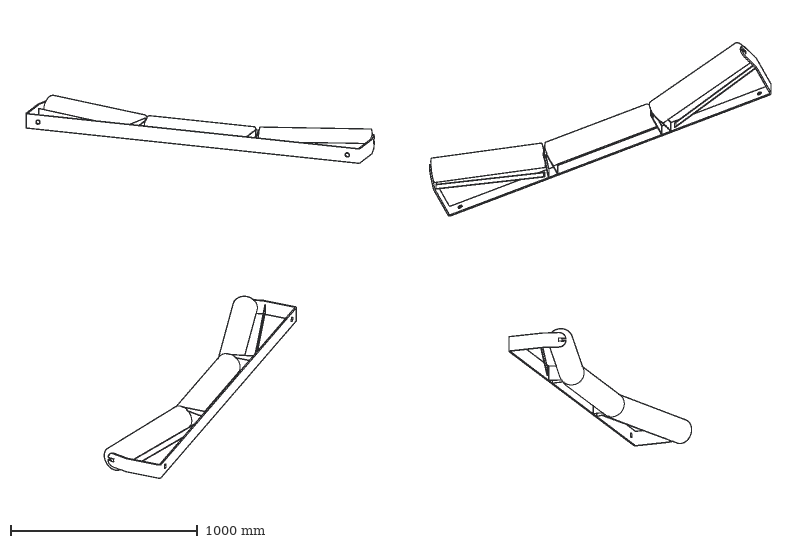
import cadquery as cq
import math

frame_length = 1910.0
frame_width = 80.0
strip_thickness = 8.5
corner_radius = 13.0
leg_height = 197.0
tip_length = 126.0
tip_bend_radius = 20.0
tip_corner_radius = 36.0
mounting_hole_diameter = 23.0
mounting_hole_from_end = 70.0

roller_diameter = 134.0
roller_length = 602.0
roller_edge_radius = 4.0
shaft_side = 17.0
wing_angle = 15.0
wing_center_x = 626.0
wing_center_y = 208.0
roller_drop = 5.0
center_roller_y = 125.0

plate_thickness = 4.0
inner_plate_gap = 4.8
center_plate_x = 308.0
cap_top_y = 149.0
strut_width = 40.0
strut_leg_y = 181.0
strut_foot_x = 384.0

half_length = frame_length / 2
wing_sine = math.sin(math.radians(wing_angle))
wing_cosine = math.cos(math.radians(wing_angle))
wing_tilt = math.degrees(math.asin(roller_drop / roller_length))


def flat_strip(points, width):
    """Extrude a closed XY outline symmetrically about Z = 0."""
    return cq.Workplane("XY").polyline(points).close().extrude(width / 2, both=True)


def plate_between(start, end, width):
    """Straight thin plate whose mid-plane runs from start to end in XY."""
    run_x = end[0] - start[0]
    run_y = end[1] - start[1]
    length = math.hypot(run_x, run_y)
    plate = cq.Workplane("XY").box(length, plate_thickness, width)
    plate = plate.rotate((0, 0, 0), (0, 0, 1), math.degrees(math.atan2(run_y, run_x)))
    return plate.translate(((start[0] + end[0]) / 2, (start[1] + end[1]) / 2, 0))


def place_right_wing(shape):
    """Move a shape from the X axis to the inclined axis of the right wing roller."""
    tipped = shape.rotate((0, 0, 0), (0, 1, 0), -wing_tilt)
    turned = tipped.rotate((0, 0, 0), (0, 0, 1), wing_angle)
    return turned.translate((wing_center_x, wing_center_y, -roller_drop / 2))


def place_center(shape):
    """Move a shape from the X axis to the level axis of the center roller."""
    return shape.translate((0, center_roller_y, -roller_drop))


tip_outer_distance = (
    (half_length - wing_center_x) * wing_cosine + (leg_height - wing_center_y) * wing_sine
)
inner_plate_distance = roller_length / 2 + inner_plate_gap + plate_thickness
center_shaft_end = center_plate_x + plate_thickness / 2


def shaft(left_end, right_end):
    """Square shaft on the X axis between two X positions."""
    length = right_end - left_end
    return cq.Workplane("XY").box(length, shaft_side, shaft_side).translate(
        ((left_end + right_end) / 2, 0, 0)
    )


wing_shaft = shaft(-inner_plate_distance, tip_outer_distance)
center_shaft = shaft(-center_shaft_end, center_shaft_end)


def make_roller(roller_shaft):
    """Roller on the X axis, centered on the origin, with its shaft ends."""
    left_end = cq.Workplane("YZ", origin=(-roller_length / 2, 0, 0))
    shell = left_end.circle(roller_diameter / 2).extrude(roller_length)
    return shell.edges().fillet(roller_edge_radius).union(roller_shaft)


def make_bent_strip():
    """U-shaped strip whose two leg tips lean inward, square to the wing rollers."""
    inner_x = half_length - strip_thickness
    inner_bend_y = leg_height - strip_thickness * math.tan(math.radians(wing_angle / 2))
    tip_x = half_length - tip_length * wing_sine
    tip_y = leg_height + tip_length * wing_cosine
    right_side = [
        (half_length, 0),
        (half_length, leg_height),
        (tip_x, tip_y),
        (tip_x - strip_thickness * wing_cosine, tip_y - strip_thickness * wing_sine),
        (inner_x, inner_bend_y),
        (inner_x, strip_thickness),
    ]
    left_side = [(-x, y) for x, y in reversed(right_side)]
    strip = flat_strip(right_side + left_side, frame_width)
    bends = [
        (half_length, 0, corner_radius),
        (inner_x, strip_thickness, corner_radius - strip_thickness),
        (half_length, leg_height, tip_bend_radius),
        (inner_x, inner_bend_y, tip_bend_radius - strip_thickness),
    ]
    for side in (1, -1):
        for x, y, radius in bends:
            edge = cq.selectors.NearestToPointSelector((side * x, y, 0))
            strip = strip.edges("|Z").edges(edge).fillet(radius)
        across_tip = cq.selectors.ParallelDirSelector(cq.Vector(wing_cosine, side * wing_sine, 0))
        strip = strip.edges(across_tip).fillet(tip_corner_radius)
    return strip


def make_right_inner_plates():
    """Upright plate, cap and leaning plate between the center and right wing rollers."""
    mid_distance = inner_plate_distance - plate_thickness / 2
    axis_x = wing_center_x - mid_distance * wing_cosine
    axis_y = wing_center_y - mid_distance * wing_sine
    foot_y = strip_thickness / 2
    cap_y = cap_top_y - plate_thickness / 2

    def leaning_point(y):
        return (axis_x - (y - axis_y) * wing_sine / wing_cosine, y)

    upright = plate_between((center_plate_x, foot_y), (center_plate_x, cap_top_y), frame_width)
    leaning = plate_between(leaning_point(foot_y), leaning_point(cap_top_y), frame_width)
    cap = plate_between((center_plate_x, cap_y), leaning_point(cap_y), frame_width)
    return upright.union(cap).union(leaning)


def make_right_strut():
    """Narrow sloping brace from the base to the right leg."""
    foot = (strut_foot_x, strip_thickness)
    leg_end = (half_length - strip_thickness, strut_leg_y)
    return plate_between(foot, leg_end, strut_width)


def make_tip_slot():
    """Cutter for the right tip: a shaft-wide slot open at the tip's end."""
    slot_depth = tip_length
    slot_length = 2 * strip_thickness
    slot = cq.Workplane("XY").box(slot_length, slot_depth, shaft_side)
    slot = slot.translate((tip_outer_distance, (slot_depth - shaft_side) / 2, 0))
    return place_right_wing(slot)


def make_frame():
    """Bent strip with its welded plates, shaft seats and mounting holes."""
    frame = make_bent_strip()
    for attachment in (make_right_inner_plates(), make_right_strut()):
        frame = frame.union(attachment).union(attachment.mirror("YZ"))
    for cutter in (make_tip_slot(), place_right_wing(wing_shaft)):
        frame = frame.cut(cutter).cut(cutter.mirror("YZ"))
    frame = frame.cut(place_center(center_shaft))
    hole_x = half_length - mounting_hole_from_end
    holes = (
        cq.Workplane("XZ")
        .pushPoints([(hole_x, 0), (-hole_x, 0)])
        .circle(mounting_hole_diameter / 2)
        .extrude(-strip_thickness)
    )
    return frame.cut(holes)


frame = make_frame()
center_roller = place_center(make_roller(center_shaft))
right_wing_roller = place_right_wing(make_roller(wing_shaft))
wing_rollers = [right_wing_roller, right_wing_roller.mirror("YZ")]

result = cq.Compound.makeCompound(
    [
        frame.solids().val(),
        center_roller.solids().val(),
        *[roller.solids().val() for roller in wing_rollers],
    ]
)